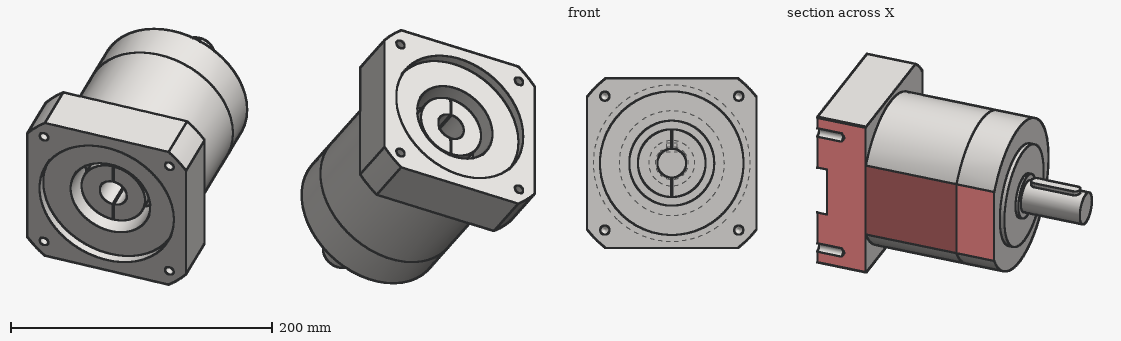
import cadquery as cq
import math

TOTAL_LENGTH = 201.0

FLANGE_SIDE = 130.0
FLANGE_LENGTH = 40.2
FLANGE_CORNER_RADIUS = 82.5
PILOT_DIA = 110.0
PILOT_DEPTH = 8.0
FLANGE_BORE_DIA = 65.1
BOLT_CIRCLE_DIA = 145.0
BOLT_COUNT = 4
BOLT_HOLE_DIA = 7.0
BOLT_HOLE_DEPTH = 20.0
DRILL_POINT_ANGLE = 118.0

HUB_DIA = 51.9
HUB_FACE_Y = 14.3
HUB_BORE_DIA = 22.1
HUB_SLOT_WIDTH = 1.0
HUB_UNSLOTTED_LENGTH = 5.0

HOUSING_DIA = 120.0
OUTPUT_HOUSING_LENGTH = 31.2
SPIGOT_DIA = 80.5
SPIGOT_LENGTH = 3.8

SHAFT_DIA = 25.1
SHAFT_LENGTH = 48.6
SHOULDER_DIA = 35.0
SHOULDER_LENGTH = 2.5
KEY_WIDTH = 8.0
KEY_LENGTH = 40.0
KEY_HEIGHT = 7.0
KEY_TOP_Z = 15.5
KEY_END_GAP = 4.8

SHOULDER_END_Y = TOTAL_LENGTH - SHAFT_LENGTH
SPIGOT_END_Y = SHOULDER_END_Y - SHOULDER_LENGTH
HOUSING_END_Y = SPIGOT_END_Y - SPIGOT_LENGTH
HOUSING_JOINT_Y = HOUSING_END_Y - OUTPUT_HOUSING_LENGTH


def cylinder(diameter, start_y, end_y):
    """Solid cylinder on the gearbox axis between two Y positions."""
    plane = cq.Workplane("XZ", origin=(0, start_y, 0))
    return plane.circle(diameter / 2).extrude(start_y - end_y)


def make_bolt_hole(x, z):
    """Cutter for a blind hole with a conical drill point."""
    radius = BOLT_HOLE_DIA / 2
    point_length = radius / math.tan(math.radians(DRILL_POINT_ANGLE / 2))
    profile = (
        cq.Workplane("XY")
        .lineTo(radius, 0)
        .lineTo(radius, BOLT_HOLE_DEPTH)
        .lineTo(0, BOLT_HOLE_DEPTH + point_length)
        .close()
    )
    return profile.revolve(360, (0, 0), (0, 1)).translate((x, 0, z))


def make_flange():
    """Square flange with rounded corners, motor pilot recess, bore and bolt holes."""
    block = cq.Workplane("XY").box(FLANGE_SIDE, FLANGE_LENGTH, FLANGE_SIDE)
    flange = block.translate((0, FLANGE_LENGTH / 2, 0))
    flange = flange.intersect(cylinder(2 * FLANGE_CORNER_RADIUS, 0, FLANGE_LENGTH))
    flange = flange.cut(cylinder(PILOT_DIA, 0, PILOT_DEPTH))
    flange = flange.cut(cylinder(FLANGE_BORE_DIA, 0, FLANGE_LENGTH))
    for index in range(BOLT_COUNT):
        angle = 2 * math.pi * (index + 0.5) / BOLT_COUNT
        x = BOLT_CIRCLE_DIA / 2 * math.cos(angle)
        z = BOLT_CIRCLE_DIA / 2 * math.sin(angle)
        flange = flange.cut(make_bolt_hole(x, z))
    return flange


def make_hub():
    """Bored clamping hub, slotted across its diameter but left whole at its inner end."""
    hub = cylinder(HUB_DIA, HUB_FACE_Y, FLANGE_LENGTH)
    hub = hub.cut(cylinder(HUB_BORE_DIA, HUB_FACE_Y, FLANGE_LENGTH))
    slot_length = FLANGE_LENGTH - HUB_FACE_Y - HUB_UNSLOTTED_LENGTH
    slot = cq.Workplane("XY").box(HUB_SLOT_WIDTH, slot_length, HUB_DIA)
    return hub.cut(slot.translate((0, HUB_FACE_Y + slot_length / 2, 0)))


def make_gear_housing():
    """Plain cylinder between the flange and the output housing."""
    return cylinder(HOUSING_DIA, FLANGE_LENGTH, HOUSING_JOINT_Y)


def make_output_housing():
    """Cylinder with a locating spigot on its output face."""
    housing = cylinder(HOUSING_DIA, HOUSING_JOINT_Y, HOUSING_END_Y)
    return housing.union(cylinder(SPIGOT_DIA, HOUSING_END_Y, SPIGOT_END_Y))


def make_key():
    """Round-ended parallel key on the upper side of the shaft."""
    center_y = TOTAL_LENGTH - KEY_END_GAP - KEY_LENGTH / 2
    plane = cq.Workplane("XY", origin=(0, center_y, KEY_TOP_Z - KEY_HEIGHT))
    return plane.slot2D(KEY_LENGTH, KEY_WIDTH, 90).extrude(KEY_HEIGHT)


def make_shaft(key):
    """Output shaft with a shoulder and a keyway that matches the key."""
    shaft = cylinder(SHOULDER_DIA, SPIGOT_END_Y, SHOULDER_END_Y)
    shaft = shaft.union(cylinder(SHAFT_DIA, SHOULDER_END_Y, TOTAL_LENGTH))
    return shaft.cut(key)


flange = make_flange()
hub = make_hub()
gear_housing = make_gear_housing()
output_housing = make_output_housing()
key = make_key()
shaft = make_shaft(key)

result = cq.Compound.makeCompound(
    [
        flange.val(),
        hub.val(),
        gear_housing.val(),
        output_housing.val(),
        key.val(),
        shaft.val(),
    ]
)